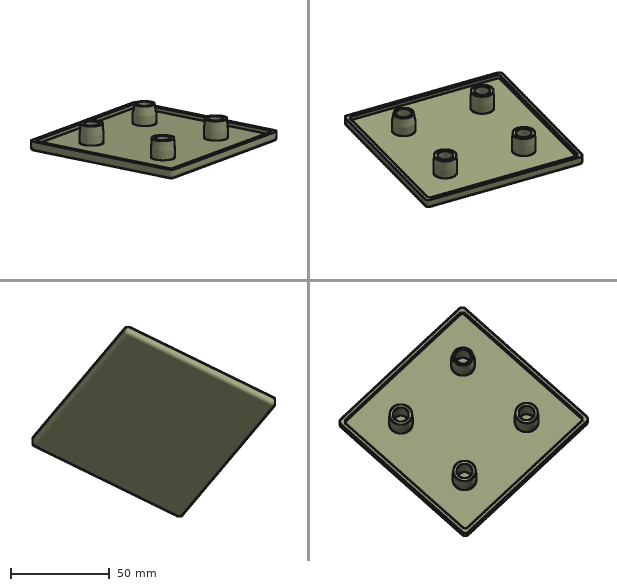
import cadquery as cq

side = 90.0
rim_height = 5.0
floor_thickness = 3.0
wall = 2.0
corner_radius = 2.0
inner_corner_radius = 1.8
bottom_fillet = 1.9

total_height = 13.0
peg_offset = side / 4
peg_radius = 6.0
bore_radius = 4.0
tip_radius = 5.7
taper_start = 7.7
narrow_tip_radius = 5.0
narrow_taper_start = 8.0


def make_tray():
    """Square tray with rounded corners and a rounded lower edge."""
    body = cq.Workplane("XY").rect(side, side).extrude(rim_height)
    body = body.edges("|Z").fillet(corner_radius)
    body = body.faces("<Z").edges().fillet(bottom_fillet)
    pocket_side = side - 2 * wall
    pocket = (
        cq.Workplane("XY", origin=(0, 0, floor_thickness))
        .rect(pocket_side, pocket_side)
        .extrude(rim_height - floor_thickness)
        .edges("|Z")
        .fillet(inner_corner_radius)
    )
    return body.cut(pocket)


def make_peg(top_radius, taper_height):
    """Peg wall revolved about Z, starting on the tray floor."""
    return (
        cq.Workplane("XZ")
        .moveTo(bore_radius, floor_thickness)
        .lineTo(peg_radius, floor_thickness)
        .lineTo(peg_radius, taper_height)
        .lineTo(top_radius, total_height)
        .lineTo(bore_radius, total_height)
        .close()
        .revolve(360, (0, 0, 0), (0, 1, 0))
    )


result = make_tray()
for x_sign in (-1, 1):
    for y_sign in (-1, 1):
        if x_sign < 0 < y_sign:
            peg = make_peg(narrow_tip_radius, narrow_taper_start)
        else:
            peg = make_peg(tip_radius, taper_start)
        result = result.union(peg.translate((x_sign * peg_offset, y_sign * peg_offset, 0)))